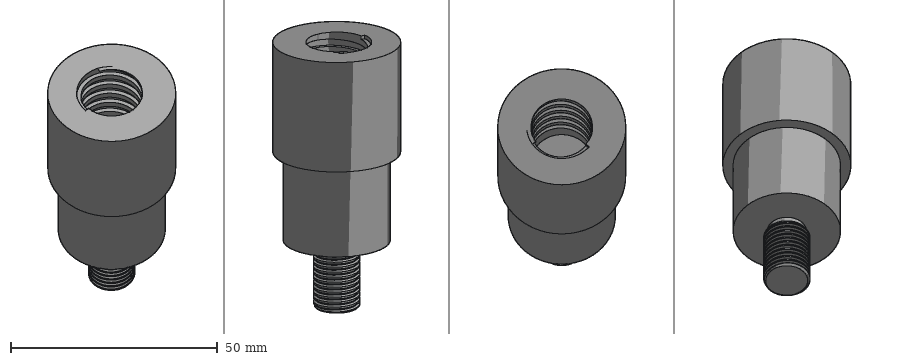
import cadquery as cq
import math

TOTAL_HEIGHT = 67.5
HEAD_DIAMETER = 31.0
HEAD_BOTTOM = 39.55
BODY_DIAMETER = 26.0
BODY_BOTTOM = 17.0

NECK_DIAMETER = 9.5
NECK_LENGTH = 1.55
STUD_ROOT_DIAMETER = 10.1
STUD_CREST_DIAMETER = 11.3
STUD_END_DIAMETER = 10.2
STUD_PITCH_COUNT = 12
STUD_PITCH_SPAN = 15.25
STUD_PITCH = STUD_PITCH_SPAN / STUD_PITCH_COUNT
STUD_RIDGE_BASE = 1.2
STUD_RIDGE_CREST = 0.5
STUD_RIDGE_HEIGHT = 0.37
STUD_TURNS = 14
STUD_START_ANGLE = 180
STUD_ENVELOPE_DIAMETER = 12.15
STUD_END_CHAMFER = (STUD_ENVELOPE_DIAMETER - STUD_END_DIAMETER) / 2

BORE_DIAMETER = 14.85
BORE_DEPTH = 20.25
BORE_TIP_ANGLE = 118.0
GROOVE_DIAMETER = 16.95
GROOVE_PITCH = 3.4
GROOVE_WIDTH = 1.9
GROOVE_TURNS = 5
GROOVE_RISE = 1.0
GROOVE_START_ANGLE = -90

ROOT_OVERLAP = 0.15


def cylinder(diameter, bottom, top):
    return cq.Workplane("XY").workplane(offset=bottom).circle(diameter / 2).extrude(top - bottom)


def helical_solid(root_radius, tip_radius, root_width, tip_width, pitch, turns):
    """Sweep a trapezoidal profile along a right-hand helix starting on +X at Z = 0."""
    path = cq.Workplane(cq.Wire.makeHelix(pitch, pitch * turns, root_radius))
    profile = [
        (root_radius, -root_width / 2),
        (tip_radius, -tip_width / 2),
        (tip_radius, tip_width / 2),
        (root_radius, root_width / 2),
    ]
    return cq.Workplane("XZ").polyline(profile).close().sweep(path, isFrenet=True)


def make_stud():
    neck_bottom = BODY_BOTTOM - NECK_LENGTH
    core = cylinder(STUD_ROOT_DIAMETER, 0, neck_bottom)
    neck = cylinder(NECK_DIAMETER, neck_bottom, BODY_BOTTOM)
    ridge = helical_solid(
        STUD_ROOT_DIAMETER / 2 - ROOT_OVERLAP,
        STUD_CREST_DIAMETER / 2,
        STUD_RIDGE_BASE,
        STUD_RIDGE_CREST,
        STUD_PITCH,
        STUD_TURNS,
    )
    ridge = ridge.rotate((0, 0, 0), (0, 0, 1), STUD_START_ANGLE)
    ridge = ridge.translate((0, 0, STUD_RIDGE_HEIGHT - STUD_PITCH))
    envelope = cylinder(STUD_ENVELOPE_DIAMETER, 0, neck_bottom).edges().chamfer(STUD_END_CHAMFER)
    ridge = ridge.intersect(envelope)
    return core.union(ridge).union(neck)


def make_bore():
    radius = BORE_DIAMETER / 2
    shoulder = TOTAL_HEIGHT - BORE_DEPTH
    tip = shoulder - radius / math.tan(math.radians(BORE_TIP_ANGLE / 2))
    outline = [(0, tip), (radius, shoulder), (radius, TOTAL_HEIGHT), (0, TOTAL_HEIGHT)]
    return cq.Workplane("XZ").polyline(outline).close().revolve(360, (0, 0, 0), (0, 1, 0))


def make_groove():
    groove = helical_solid(
        BORE_DIAMETER / 2 - ROOT_OVERLAP,
        GROOVE_DIAMETER / 2,
        GROOVE_WIDTH,
        GROOVE_WIDTH,
        GROOVE_PITCH,
        GROOVE_TURNS,
    )
    end_center = TOTAL_HEIGHT + GROOVE_RISE - GROOVE_WIDTH / 2
    groove = groove.rotate((0, 0, 0), (0, 0, 1), GROOVE_START_ANGLE)
    return groove.translate((0, 0, end_center - GROOVE_PITCH * GROOVE_TURNS))


head = cylinder(HEAD_DIAMETER, HEAD_BOTTOM, TOTAL_HEIGHT)
body = cylinder(BODY_DIAMETER, BODY_BOTTOM, HEAD_BOTTOM)
holder = head.union(body).cut(make_bore()).cut(make_groove())
result = holder.union(make_stud())